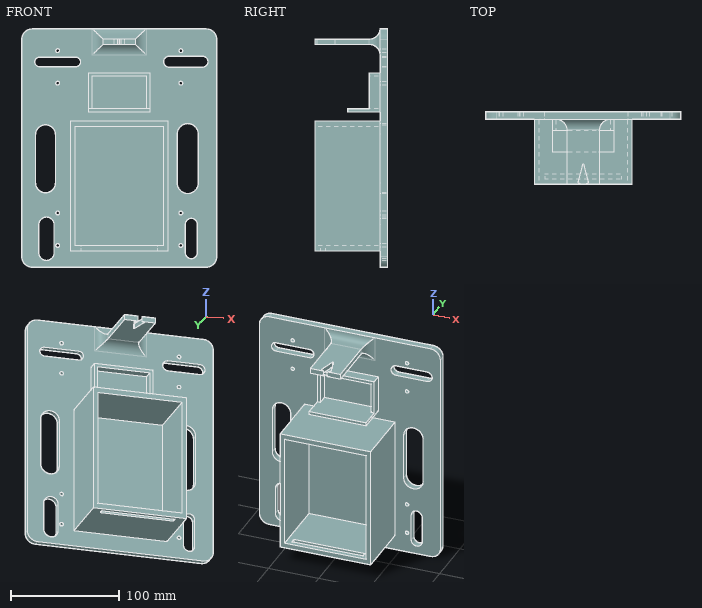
import cadquery as cq
import math

plate_width = 180.0
plate_height = 220.0
plate_thickness = 7.0
plate_corner_radius = 10.0
front_face = -plate_thickness
projection = 60.0

screw_diameter = 3.3
screw_x = 56.8
screw_z_inner = 59.8
screw_z_outer = 89.8

level_slots = [
    (-56.8, 79.5, 42.0, 8.5),
    (61.4, 79.6, 40.7, 10.0),
]
upright_slots = [
    (-68.0, -10.0, 62.5, 18.0),
    (63.1, -9.7, 64.2, 19.1),
    (-67.0, -83.5, 39.8, 13.9),
    (66.5, -83.4, 37.0, 10.8),
]

box_width = 90.0
box_height = 120.0
box_centre_z = -35.0
box_side_wall = 4.5
box_end_wall = 5.0
floor_slot_width = 4.6
floor_slot_setback = 5.0
floor_slot_margin = 5.3

shelf_width = 56.5
shelf_bottom = 33.2
shelf_depth = 30.0
shelf_wall = 3.0
rim_height = 36.0
rim_depth = 10.1

arm_width = 30.0
arm_thickness = 5.0
flare_reach = 10.1
flare_side_spread = 10.1
flare_end_spread = 9.5
arm_centre_z = plate_height / 2 - flare_end_spread - arm_thickness / 2
notch_depth = 18.7
notch_half_width = 4.8
notch_lip = 1.8
notch_mouth_half_width = 1.8
notch_tip_half_width = 0.5


def block(width, depth, height, bottom, start=front_face):
    """Block centred on X, reaching towards -Y from the start plane."""
    return cq.Workplane("XY").box(width, depth, height, centered=(True, False, False)).translate(
        (0, start - depth, bottom)
    )


def plate_cutters(sketch):
    """Extrude a sketch on the XZ plane through the plate."""
    return sketch.extrude(plate_thickness)


def make_plate():
    plate = block(plate_width, plate_thickness, plate_height, -plate_height / 2, start=0)
    plate = plate.edges("|Y").fillet(plate_corner_radius)
    screw_points = [
        (x, z)
        for x in (-screw_x, screw_x)
        for z in (-screw_z_outer, -screw_z_inner, screw_z_inner, screw_z_outer)
    ]
    plate = plate.cut(plate_cutters(cq.Workplane("XZ").pushPoints(screw_points).circle(screw_diameter / 2)))
    for slots, angle in ((level_slots, 0), (upright_slots, 90)):
        for x, z, length, width in slots:
            plate = plate.cut(plate_cutters(cq.Workplane("XZ").center(x, z).slot2D(length, width, angle)))
    return plate


def make_box():
    bottom = box_centre_z - box_height / 2
    inner_width = box_width - 2 * box_side_wall
    inner_height = box_height - 2 * box_end_wall
    outer = block(box_width, projection, box_height, bottom)
    cavity = block(inner_width, projection, inner_height, bottom + box_end_wall)
    floor_slot_start = front_face - projection + floor_slot_setback + floor_slot_width
    floor_slot = block(
        inner_width - 2 * floor_slot_margin, floor_slot_width, box_end_wall, bottom, start=floor_slot_start
    )
    return outer.cut(cavity).cut(floor_slot)


def make_shelf():
    rim = block(shelf_width, rim_depth, rim_height, shelf_bottom)
    recess = block(
        shelf_width - 2 * shelf_wall, rim_depth, rim_height - 2 * shelf_wall, shelf_bottom + shelf_wall
    )
    shelf = block(shelf_width, shelf_depth, shelf_wall, shelf_bottom)
    return rim.cut(recess).union(shelf)


def flare_profile(plane, neck, spread):
    """Prism tapering to the neck size through concave arcs; local x runs across, local y outwards."""
    half_neck = neck / 2
    half_root = half_neck + spread
    bend = 1 - math.sqrt(0.5)
    arc_middle_x = half_neck + spread * bend
    arc_middle_y = flare_reach * bend
    return (
        cq.Workplane(plane)
        .moveTo(-half_root, 0)
        .threePointArc((-arc_middle_x, arc_middle_y), (-half_neck, flare_reach))
        .lineTo(half_neck, flare_reach)
        .threePointArc((arc_middle_x, arc_middle_y), (half_root, 0))
        .close()
        .extrude(plate_width / 2, both=True)
    )


def make_arm():
    root = (0, front_face, arm_centre_z)
    across_width = cq.Plane(origin=root, xDir=(1, 0, 0), normal=(0, 0, -1))
    across_thickness = cq.Plane(origin=root, xDir=(0, 0, 1), normal=(1, 0, 0))
    side_flare = flare_profile(across_width, arm_width, flare_side_spread)
    end_flare = flare_profile(across_thickness, arm_thickness, flare_end_spread)
    flare = side_flare.intersect(end_flare)

    arm_bottom = arm_centre_z - arm_thickness / 2
    arm = block(arm_width, projection, arm_thickness, arm_bottom)
    tip = front_face - projection
    notch = (
        cq.Workplane("XY", origin=(0, tip, arm_bottom))
        .polyline(
            [
                (-notch_mouth_half_width, 0),
                (-notch_half_width, notch_lip),
                (-notch_tip_half_width, notch_depth),
                (notch_tip_half_width, notch_depth),
                (notch_half_width, notch_lip),
                (notch_mouth_half_width, 0),
            ]
        )
        .close()
        .extrude(arm_thickness)
    )
    return arm.union(flare).cut(notch)


result = make_plate().union(make_box()).union(make_shelf()).union(make_arm())